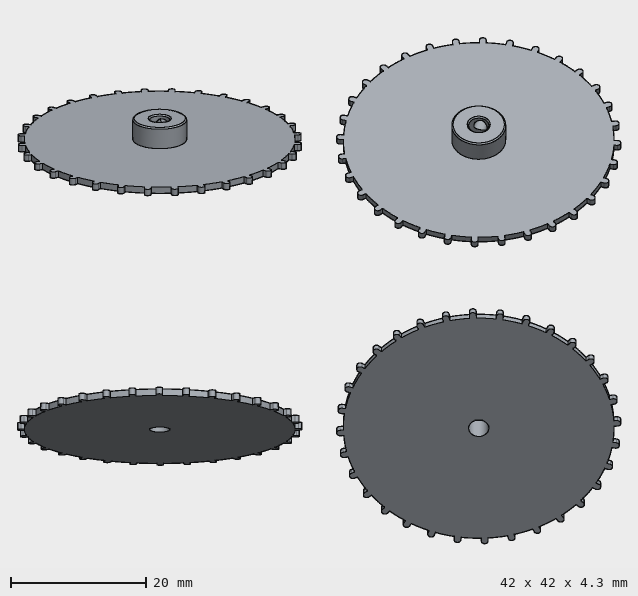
import cadquery as cq

tooth_count = 32
outer_radius = 21.0
tooth_height = 1.0
tooth_width = 1.0
disc_thickness = 1.0
disc_radius = outer_radius - tooth_height

total_height = 4.3
hub_diameter = 8.0
bore_diameter = 3.0
edge_chamfer = 0.2
hub_radius = hub_diameter / 2
hub_height = total_height - disc_thickness

screw_hole_diameter = 2.0
screw_hole_z = disc_thickness + hub_height / 2


def make_tooth(angle):
    """Full-radius tooth rooted inside the rim, pointing outward at the given angle in degrees."""
    length = 2 * tooth_height
    return (
        cq.Workplane("XY")
        .center(outer_radius - length / 2, 0)
        .slot2D(length, tooth_width)
        .extrude(disc_thickness)
        .rotate((0, 0, 0), (0, 0, 1), angle)
    )


def make_hub():
    """Cylinder through the full height, chamfered around its top edge."""
    return (
        cq.Workplane("XY")
        .circle(hub_radius)
        .extrude(total_height)
        .faces(">Z")
        .edges()
        .chamfer(edge_chamfer)
    )


def make_bore():
    """Through bore that widens into a chamfer at the top of the hub."""
    bore_radius = bore_diameter / 2
    mouth_radius = bore_radius + edge_chamfer
    return (
        cq.Workplane("XZ")
        .moveTo(0, 0)
        .lineTo(bore_radius, 0)
        .lineTo(bore_radius, total_height - edge_chamfer)
        .lineTo(mouth_radius, total_height)
        .lineTo(0, total_height)
        .close()
        .revolve(360, (0, 0, 0), (0, 1, 0))
    )


def make_screw_hole():
    """Radial cylinder from the hub axis out through the +Y side."""
    return (
        cq.Workplane("XZ")
        .center(0, screw_hole_z)
        .circle(screw_hole_diameter / 2)
        .extrude(-hub_diameter)
    )


result = cq.Workplane("XY").circle(disc_radius).extrude(disc_thickness)
for index in range(tooth_count):
    result = result.union(make_tooth(index * 360 / tooth_count))
result = result.union(make_hub()).cut(make_bore()).cut(make_screw_hole())